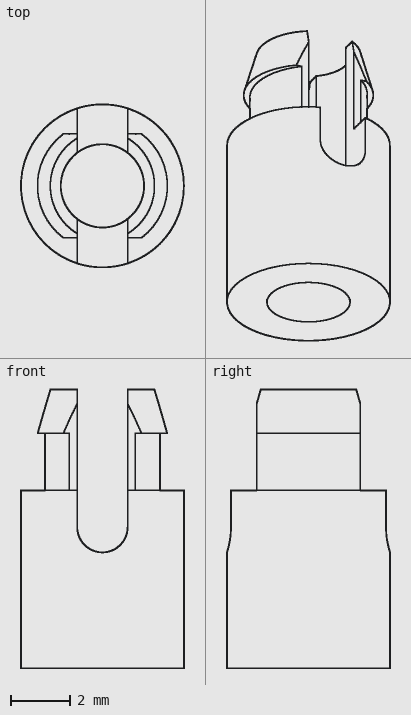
import cadquery as cq

total_height = 9.4
body_diameter = 5.5
body_height = 6.0
bore_diameter = 2.8

neck_reach = 1.95
neck_radius = 2.25
barb_base_z = 7.915
barb_base_reach = 2.19
barb_base_radius = barb_base_reach
barb_tip_reach = 1.76
barb_tip_radius = 1.88
prong_width = 3.5

slot_width = 1.69
slot_bottom_z = 3.91


def cylinder(diameter, bottom, top):
    return cq.Workplane("XY").workplane(offset=bottom).circle(diameter / 2).extrude(top - bottom)


def neck():
    """Round stem of the -X prong, centered off the axis."""
    return cylinder(2 * neck_radius, body_height, barb_base_z).translate((neck_radius - neck_reach, 0, 0))


def barb():
    """Tapered snap head of the -X prong, widest at its base."""
    base_center_x = barb_base_radius - barb_base_reach
    tip_center_x = barb_tip_radius - barb_tip_reach
    return (
        cq.Workplane("XY", origin=(base_center_x, 0, barb_base_z))
        .circle(barb_base_radius)
        .workplane(offset=total_height - barb_base_z)
        .center(tip_center_x - base_center_x, 0)
        .circle(barb_tip_radius)
        .loft(ruled=True)
    )


def prong():
    """Neck and barb on the -X side, trimmed by flats facing +Y and -Y."""
    envelope = cq.Workplane("XY", origin=(-body_diameter / 2, 0, 0)).box(
        body_diameter / 2, prong_width, total_height, centered=(False, True, False)
    )
    return neck().union(barb()).intersect(envelope)


def slot():
    """Round-bottomed slot through the part along Y, open at the top."""
    slot_radius = slot_width / 2
    arc_center_z = slot_bottom_z + slot_radius
    return (
        cq.Workplane("XZ")
        .moveTo(-slot_radius, total_height)
        .lineTo(-slot_radius, arc_center_z)
        .threePointArc((0, slot_bottom_z), (slot_radius, arc_center_z))
        .lineTo(slot_radius, total_height)
        .close()
        .extrude(body_diameter / 2, both=True)
    )


body = cylinder(body_diameter, 0, body_height)
bore = cylinder(bore_diameter, 0, total_height)
left_prong = prong()
right_prong = left_prong.mirror("YZ")
result = body.union(right_prong).union(left_prong).cut(bore).cut(slot())